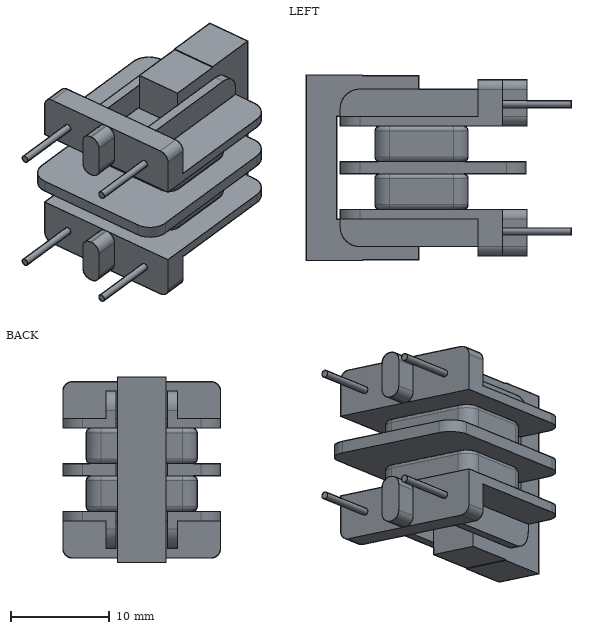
import cadquery as cq


flange_width = 16.1
flange_length = 18.95
flange_corner_radius = 2.0
middle_flange_thickness = 1.25
outer_flange_inner_z = 4.25
outer_flange_outer_z = 5.25
flange_back_y = flange_length / 2
flange_front_y = -flange_length / 2

bar_front_y = -7.05
bar_depth = 2.48
bar_outer_z = 9.0
bar_corner_radius = 1.0
bar_back_y = bar_front_y + bar_depth

post_width = 2.1
post_length = 2.5
post_edge_radius = 1.0

core_length = 11.48
core_height = 18.93
core_width = 4.97
core_back_y = 12.93
core_back_thickness = 3.13
core_joint_y = core_back_y - core_length / 2
core_step = 0.08

channel_clearance = 0.14
channel_width = core_width + 2 * channel_clearance
channel_wall = 1.03
channel_wall_top_z = 8.02
channel_wall_radius = 2.0
channel_mouth_depth = 0.75

winding_width = 11.3
winding_length = 9.5
winding_center_y = 1.2
winding_corner_radius = 1.48
winding_edge_radius = 0.49

pin_diameter = 0.73
pin_spacing = 10.0
pin_z = 6.48
pin_length = 7.02


def box(width, y_min, y_max, z_min, z_max):
    """Block centred on X = 0 between the given Y and Z limits."""
    corner = (-width / 2, y_min, z_min)
    return cq.Workplane("XY").box(width, y_max - y_min, z_max - z_min, centered=False).translate(corner)


def middle_flange():
    half = middle_flange_thickness / 2
    plate = box(flange_width, flange_front_y, flange_back_y, -half, half)
    return plate.edges("|Z").fillet(flange_corner_radius)


def outer_flange():
    plate = box(flange_width, bar_front_y, flange_back_y, outer_flange_inner_z, outer_flange_outer_z)
    return plate.edges("|Z and >Y").fillet(flange_corner_radius)


def terminal_bar():
    bar = box(flange_width, bar_front_y, bar_back_y, outer_flange_inner_z, bar_outer_z)
    return bar.edges("|Y and >Z").fillet(bar_corner_radius)


def channel_walls():
    outer_width = channel_width + 2 * channel_wall
    block = box(outer_width, bar_back_y, flange_back_y, outer_flange_outer_z, channel_wall_top_z)
    block = block.edges("|X and >Y and >Z").fillet(channel_wall_radius)
    return block.cut(box(channel_width, bar_back_y, flange_back_y, outer_flange_outer_z, channel_wall_top_z))


def standoff_post():
    post = box(post_width, bar_front_y - post_length, bar_front_y, outer_flange_inner_z, bar_outer_z)
    return post.edges("|Y").fillet(post_edge_radius)


def pins():
    plane = cq.Workplane("XZ", origin=(0, bar_front_y, pin_z))
    centers = [(-pin_spacing / 2, 0), (pin_spacing / 2, 0)]
    return plane.pushPoints(centers).circle(pin_diameter / 2).extrude(pin_length)


def winding():
    y_min = winding_center_y - winding_length / 2
    y_max = winding_center_y + winding_length / 2
    coil = box(winding_width, y_min, y_max, middle_flange_thickness / 2, outer_flange_inner_z)
    coil = coil.edges("|Z").fillet(winding_corner_radius)
    return coil.faces("<Z or >Z").edges().fillet(winding_edge_radius)


def core():
    """Back half at full height, front half slightly lower, around a rectangular window."""
    front_y = core_back_y - core_length
    back_top = core_height / 2
    front_top = back_top - core_step
    back_half = box(core_width, core_joint_y, core_back_y, -back_top, back_top)
    front_half = box(core_width, front_y, core_joint_y, -front_top, front_top)
    window_front_y = front_y + core_back_thickness
    window_back_y = core_back_y - core_back_thickness
    window = box(core_width, window_front_y, window_back_y, -outer_flange_outer_z, outer_flange_outer_z)
    return back_half.union(front_half).cut(window)


upper_half = outer_flange().union(terminal_bar()).union(channel_walls())
upper_half = upper_half.union(standoff_post()).union(pins()).union(winding())
bobbin = middle_flange().union(upper_half).union(upper_half.mirror("XY"))

mouth_front_y = flange_back_y - channel_mouth_depth
bobbin = bobbin.cut(box(channel_width, mouth_front_y, flange_back_y, -bar_outer_z, bar_outer_z))

result = bobbin.union(core())